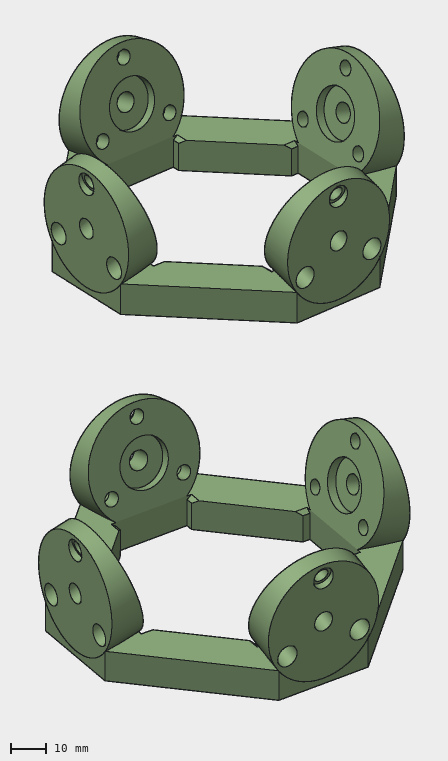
import cadquery as cq
import math

ring_half_width = 50.0
ring_height = 10.0
short_side = 30.0
diagonal_band_width = 13.2

disc_count = 4
disc_diameter = 37.0
disc_tilt = 15.0
disc_thickness = 10.0
disc_overhang = 0.02
overall_height = 41.5

centre_hole_diameter = 6.0
recess_diameter = 16.0
recess_depth = 2.9
screw_count = 3
screw_circle_radius = 14.0
screw_hole_diameter = 4.5
screw_head_diameter = 6.5
screw_seat_thickness = 5.0

bevel_width = 1.5
bevel_drop = 1.15

tilt = math.radians(disc_tilt)
disc_radius = disc_diameter / 2
outer_face = ring_half_width + disc_overhang
inner_centre_y = -outer_face + disc_thickness * math.cos(tilt)
inner_centre_z = overall_height - disc_radius * math.cos(tilt)
tool_length = 2 * disc_diameter

chord_drop = (inner_centre_z - ring_height) / math.cos(tilt)
notch_half_width = math.sqrt(disc_radius**2 - chord_drop**2)
notch_wall_y = inner_centre_y + (inner_centre_z - ring_height) * math.tan(tilt)

disc_plane = cq.Plane(
    origin=(0, inner_centre_y, inner_centre_z),
    xDir=(-1, 0, 0),
    normal=(0, math.cos(tilt), math.sin(tilt)),
)


def octagon(half_width, diagonal_sum, height):
    """Prism with sides at |x| or |y| = half_width and |x| + |y| = diagonal_sum."""
    square = cq.Workplane("XY").rect(2 * half_width, 2 * half_width).extrude(height)
    diamond_side = math.sqrt(2) * diagonal_sum
    diamond = cq.Workplane("XY").rect(diamond_side, diamond_side).extrude(height)
    return square.intersect(diamond.rotate((0, 0, 0), (0, 0, 1), 45))


def make_ring():
    outer_sum = ring_half_width + short_side / 2
    inner_sum = outer_sum - math.sqrt(2) * diagonal_band_width
    outer = octagon(ring_half_width, outer_sum, ring_height)
    inner = octagon(-notch_wall_y, inner_sum, ring_height)
    return outer.cut(inner)


def make_disc():
    """Tilted cylinder behind the inner face, trimmed by a vertical outer plane."""
    cylinder = cq.Workplane(disc_plane).circle(disc_radius).extrude(-tool_length)
    outside = (
        cq.Workplane("XZ", origin=(0, -outer_face, 0))
        .rect(2 * tool_length, 2 * tool_length)
        .extrude(tool_length)
    )
    return cylinder.cut(outside)


def make_notch():
    """Space in front of the vertical wall under the disc, widened by top bevels."""
    bevel_half_width = notch_half_width + bevel_width
    bevel_bottom = ring_height - bevel_drop
    return (
        cq.Workplane("XZ", origin=(0, notch_wall_y, 0))
        .moveTo(-notch_half_width, 0)
        .lineTo(notch_half_width, 0)
        .lineTo(notch_half_width, bevel_bottom)
        .lineTo(bevel_half_width, ring_height)
        .lineTo(-bevel_half_width, ring_height)
        .lineTo(-notch_half_width, bevel_bottom)
        .close()
        .extrude(-diagonal_band_width)
    )


def make_disc_holes():
    """Centre hole, inner recess and screw holes counterbored from outside."""
    holes = cq.Workplane(disc_plane).circle(centre_hole_diameter / 2).extrude(-tool_length)
    recess = cq.Workplane(disc_plane).circle(recess_diameter / 2).extrude(-recess_depth)
    holes = holes.union(recess)
    for index in range(screw_count):
        angle = math.radians(90 + index * 360 / screw_count)
        x = screw_circle_radius * math.cos(angle)
        y = screw_circle_radius * math.sin(angle)
        shank = (
            cq.Workplane(disc_plane)
            .center(x, y)
            .circle(screw_hole_diameter / 2)
            .extrude(-tool_length)
        )
        head = (
            cq.Workplane(disc_plane)
            .workplane(offset=-screw_seat_thickness)
            .center(x, y)
            .circle(screw_head_diameter / 2)
            .extrude(-tool_length)
        )
        holes = holes.union(shank).union(head)
    return holes


def around(shape, index):
    """Turn a feature of the front disc to the given position on the ring."""
    return shape.rotate((0, 0, 0), (0, 0, 1), index * 360 / disc_count)


disc = make_disc()
notch = make_notch()
disc_holes = make_disc_holes()

result = make_ring()
for position in range(disc_count):
    result = result.union(around(disc, position))
for position in range(disc_count):
    result = result.cut(around(notch, position))
    result = result.cut(around(disc_holes, position))